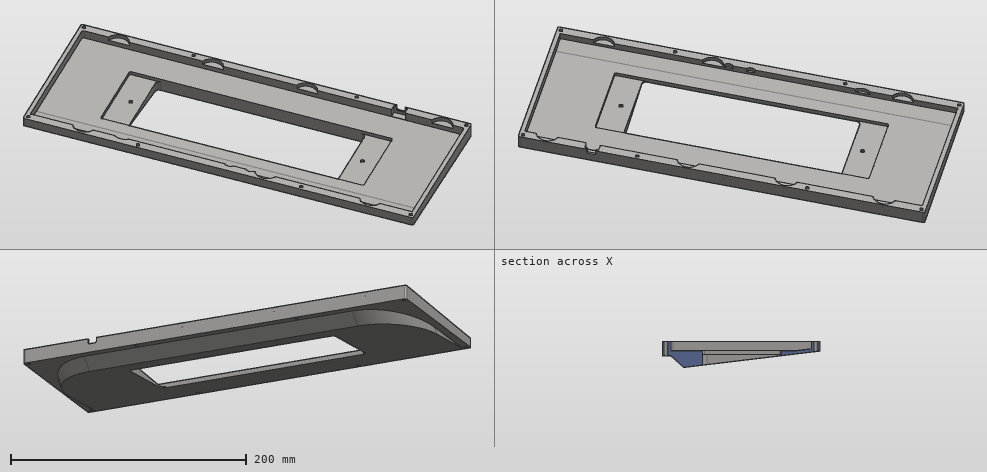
import cadquery as cq
import math

length = 356.5
width = 134.0
total_height = 22.0
front_height = 8.2
back_height = 12.5
outer_corner_radius = 1.68
front_y = -width / 2
back_y = width / 2

side_wall = 4.0
end_wall = 7.5
floor_depth = 8.0
ramp_start_y = -45.5
inner_corner_radius = 1.68
pocket_length = length - 2 * side_wall
pocket_front_y = front_y + end_wall
pocket_back_y = back_y - end_wall

belly_length = 342.5
belly_low_y = 49.0
belly_back_angle = 42.0
belly_corner_radius = 46.5
belly_slope = (total_height - front_height) / (belly_low_y - front_y)

window_length = 191.0
window_width = 66.7
window_x = -0.5
window_y = -0.55
ledge_span = 240.5
ledge_depth = 11.0
window_corner_radius = 3.5
ledge_corner_radius = 1.68

ledge_hole_diameter = 3.3
ledge_hole_depth = 2.0
ledge_hole_spacing = 212.0

rim_hole_diameter = 2.9
rim_hole_back_y = 64.0
rim_hole_front_y = -63.5
rim_hole_outer_x = 174.7
rim_hole_inner_x = 74.5

relief_depth = 3.5
relief_radius = 10.5
small_relief_radius = 5.0
back_relief_y = 55.5
front_relief_y = -55.0
wide_relief_y = -51.5
small_relief_y = -56.5
back_relief_x = (-141.0, -55.0, 31.0, 154.8)
front_relief_x = (-126.2, 40.3, 136.0)
wide_relief_x = -91.0
small_relief_x = (7.0, 26.5)

notch_left_x = 108.0
notch_right_x = 120.0
notch_back_y = 65.3
notch_depth = 7.5
notch_lip_radius = 1.5
opening_x = 114.0
opening_width = 8.0
opening_depth = 4.5
opening_corner_radius = 1.5


def side_profile(points, span):
    """Prism with a (y, z) outline, centred on x = 0."""
    return cq.Workplane("YZ").polyline(points).close().extrude(span / 2, both=True)


def make_tray():
    outline = [(front_y, 0), (back_y, 0), (back_y, -back_height), (front_y, -front_height)]
    return side_profile(outline, length).edges("|Z").fillet(outer_corner_radius)


def make_belly():
    angle = math.radians(belly_back_angle)
    column_section = cq.Plane(
        origin=(0, belly_low_y, -total_height),
        xDir=(1, 0, 0),
        normal=(0, math.cos(angle), math.sin(angle)),
    )
    half = belly_length / 2
    shoulder = half - belly_corner_radius
    column = (
        cq.Workplane(column_section)
        .moveTo(-half, -width)
        .lineTo(-half, -belly_corner_radius)
        .radiusArc((-shoulder, 0), belly_corner_radius)
        .lineTo(shoulder, 0)
        .radiusArc((half, -belly_corner_radius), belly_corner_radius)
        .lineTo(half, -width)
        .close()
        .extrude(width, both=True)
    )
    wedge_back_z = -front_height - belly_slope * width
    wedge = side_profile(
        [(front_y, -front_height), (back_y, -back_height), (back_y, wedge_back_z)],
        belly_length,
    )
    return column.intersect(wedge)


def make_pocket():
    ramp_rise = belly_slope * (ramp_start_y - pocket_front_y)
    outline = [
        (pocket_front_y, 0),
        (pocket_back_y, 0),
        (pocket_back_y, -floor_depth),
        (ramp_start_y, -floor_depth),
        (pocket_front_y, ramp_rise - floor_depth),
    ]
    pocket = side_profile(outline, pocket_length)
    return pocket.edges("|Z and >Y").fillet(inner_corner_radius)


def rounded_cut(span, depth, corner_radius):
    block = cq.Workplane().center(window_x, window_y).rect(span, window_width).extrude(-depth)
    return block.edges("|Z").fillet(corner_radius)


def make_ledge_holes():
    radius = ledge_hole_diameter / 2
    tip_z = -ledge_hole_depth - radius
    hole = (
        cq.Workplane("XZ")
        .polyline([(0, 0), (radius, 0), (radius, -ledge_hole_depth), (0, tip_z)])
        .close()
        .revolve(360, (0, 0, 0), (0, 1, 0))
        .translate((window_x, window_y, -ledge_depth))
    )
    half = ledge_hole_spacing / 2
    return hole.translate((-half, 0, 0)).union(hole.translate((half, 0, 0)))


def make_rim_holes():
    places = [
        (x, y)
        for x in (-rim_hole_outer_x, -rim_hole_inner_x, rim_hole_inner_x, rim_hole_outer_x)
        for y in (rim_hole_front_y, rim_hole_back_y)
    ]
    return cq.Workplane().pushPoints(places).circle(rim_hole_diameter / 2).extrude(-total_height)


def reliefs(x_places, y, radius):
    return cq.Workplane().pushPoints([(x, y) for x in x_places]).circle(radius).extrude(-relief_depth)


def make_notch():
    lip = notch_lip_radius
    return (
        cq.Workplane()
        .moveTo(notch_left_x, pocket_back_y)
        .lineTo(notch_left_x, notch_back_y)
        .lineTo(notch_right_x, notch_back_y)
        .lineTo(notch_right_x, pocket_back_y + lip)
        .radiusArc((notch_right_x + lip, pocket_back_y), -lip)
        .close()
        .extrude(-notch_depth)
    )


def make_opening():
    opening = cq.Workplane().box(opening_width, 2 * (back_y - notch_back_y), 2 * opening_depth)
    opening = opening.edges("|Y").fillet(opening_corner_radius)
    return opening.translate((opening_x, back_y, 0))


result = make_tray().union(make_belly())
result = result.cut(make_pocket())
result = result.cut(rounded_cut(ledge_span, ledge_depth, ledge_corner_radius))
result = result.cut(rounded_cut(window_length, total_height, window_corner_radius))
result = result.cut(make_ledge_holes())
result = result.cut(make_rim_holes())
result = result.cut(reliefs(back_relief_x, back_relief_y, relief_radius))
result = result.cut(reliefs(front_relief_x, front_relief_y, relief_radius))
result = result.cut(reliefs([wide_relief_x], wide_relief_y, relief_radius))
result = result.cut(reliefs(small_relief_x, small_relief_y, small_relief_radius))
result = result.cut(make_notch())
result = result.cut(make_opening())